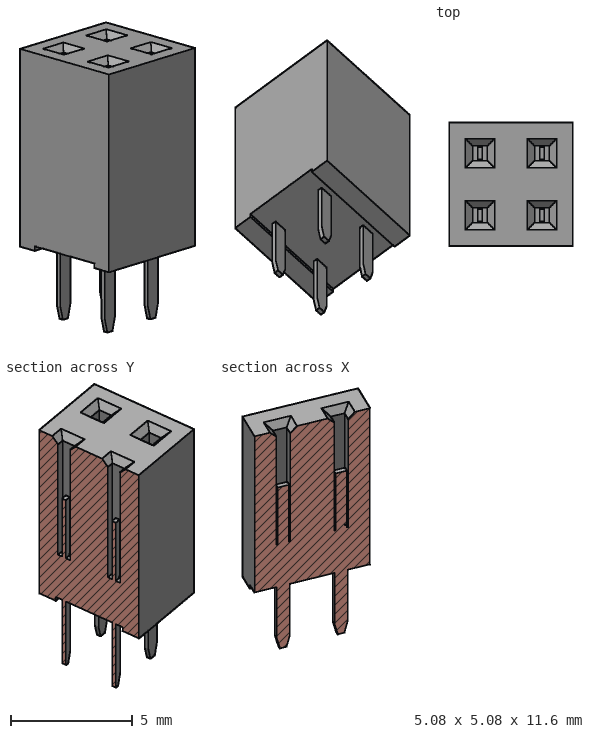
import cadquery as cq

total_height = 11.6
body_width = 5.08
body_height = 8.5
pin_pitch = body_width / 2

foot_width = 0.85
channel_depth = 0.2

lead_in_width = 1.2
hole_width = 0.6
lead_in_depth = hole_width / 2
hole_depth = 6.03

pin_thickness = 0.2
pin_width = 0.6
tip_width = pin_width / 2
tip_length = pin_width

blade_width = 0.5
blade_height = hole_depth / 2

body_bottom = total_height - body_height
channel_top = body_bottom + channel_depth
lead_in_bottom = total_height - lead_in_depth
socket_floor = total_height - hole_depth

row_places = (-pin_pitch / 2, pin_pitch / 2)
pin_places = [(x, y) for x in row_places for y in row_places]


def block(size_x, size_y, bottom, top):
    """Box centred on the Z axis between two levels."""
    return cq.Workplane("XY").workplane(offset=bottom).rect(size_x, size_y).extrude(top - bottom)


def make_body():
    body = block(body_width, body_width, body_bottom, total_height)
    channel_width = body_width - 2 * foot_width
    return body.cut(block(channel_width, body_width, body_bottom, channel_top))


def make_socket():
    """Solid to remove for one socket."""
    lead_in = (
        cq.Workplane("XY")
        .workplane(offset=lead_in_bottom)
        .rect(hole_width, hole_width)
        .workplane(offset=lead_in_depth)
        .rect(lead_in_width, lead_in_width)
        .loft()
    )
    return lead_in.union(block(hole_width, hole_width, socket_floor, lead_in_bottom))


def make_pin():
    """Flat pin from its tip up to the socket floor, topped by the blade."""
    outline = [
        (-tip_width / 2, 0),
        (tip_width / 2, 0),
        (pin_width / 2, tip_length),
        (pin_width / 2, socket_floor),
        (-pin_width / 2, socket_floor),
        (-pin_width / 2, tip_length),
    ]
    pin = cq.Workplane("YZ").polyline(outline).close().extrude(pin_thickness / 2, both=True)
    return pin.union(block(pin_thickness, blade_width, socket_floor, socket_floor + blade_height))


socket_cut = make_socket()
contact = make_pin()
result = make_body()
for x, y in pin_places:
    result = result.cut(socket_cut.translate((x, y, 0)))
    result = result.union(contact.translate((x, y, 0)))